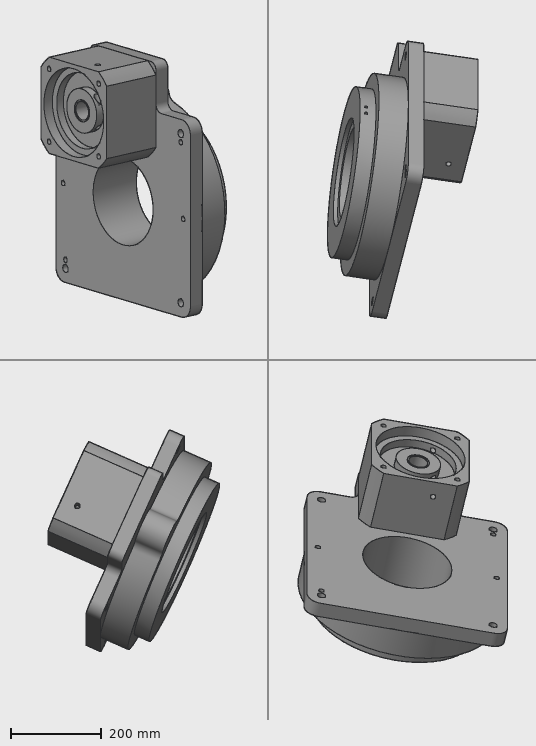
import cadquery as cq
import math


plate_side = 450.0
plate_thickness = 35.0
plate_corner_radius = 30.0
neck_width = 220.5
neck_corner_radius = 18.0
through_bore_diameter = 200.0
overall_height = 562

mounting_offset = 193.0
mounting_diameter = 18.0
dowel_gap = 19.5
small_hole_diameter = 12.0
side_hole_offset = 200.5

body_radius = plate_side / 2
body_thickness = 66.0
bulge_radius = 40.0
bulge_blend_radius = 25.0
turntable_diameter = 380.5
turntable_thickness = 35.5
index_hole_diameter = 6.0
index_hole_depth = 11.0
index_hole_spacing = 20.0
index_hole_from_back = 13.5
rear_recess_diameter = 240.5
rear_recess_depth = 9.5

housing_side = 220.0
housing_corner_diameter = 275.0
housing_depth = 144.0
bolt_spacing = 166.0
bolt_hole_depth = 22.5
pilot_diameter = 200.0
pilot_depth = 25.0
cavity_diameter = 171.0

hub_diameter = 100.0
hub_face_depth = 23.0
shaft_bore_diameter = 42.0
shaft_recess_diameter = 49.5
shaft_recess_depth = 1.5
clamp_hole_x = 36.0
clamp_hole_depth = 38.0
clamp_slit_width = 2.0
screw_head_diameter = 16.0
screw_head_top = 50.5
screw_head_bottom = 20.0

half_plate = plate_side / 2
drive_z = overall_height - half_plate - neck_width / 2
housing_front = -housing_depth
clamp_hole_radius = small_hole_diameter / 2
cavity_depth = clamp_hole_depth + math.sqrt(clamp_hole_radius**2 - (clamp_slit_width / 2) ** 2)
body_back = plate_thickness + body_thickness
table_back = body_back + turntable_thickness


def cylinder(diameter, y_start, y_end, x=0, z=0):
    """Cylinder along +Y between two Y positions."""
    return cq.Workplane("XZ", origin=(x, y_start, z)).circle(diameter / 2).extrude(y_start - y_end)


def vertical_cylinder(diameter, z_start, z_end, x, y):
    """Cylinder along +Z between two heights."""
    return cq.Workplane("XY", origin=(x, y, z_start)).circle(diameter / 2).extrude(z_end - z_start)


def box(width, height, y_start, y_end, z):
    """Block centred on X = 0 and on the given height."""
    return cq.Workplane("XZ", origin=(0, y_start, z)).rect(width, height).extrude(y_start - y_end)


def make_plate():
    """Square plate with a narrower neck that backs the drive housing."""
    half_neck = neck_width / 2
    top = overall_height - half_plate
    plate = (
        cq.Workplane("XZ")
        .moveTo(-half_plate, -half_plate)
        .lineTo(half_plate, -half_plate)
        .lineTo(half_plate, half_plate)
        .lineTo(half_neck, half_plate)
        .lineTo(half_neck, top)
        .lineTo(-half_neck, top)
        .lineTo(-half_neck, half_plate)
        .lineTo(-half_plate, half_plate)
        .close()
        .extrude(-plate_thickness)
    )
    margin = neck_corner_radius
    neck_corners = cq.selectors.BoxSelector(
        (-half_neck - margin, -margin, half_plate - margin),
        (half_neck + margin, plate_thickness + margin, top + margin),
    )
    plate = plate.edges("|Y").edges(neck_corners).fillet(neck_corner_radius)
    return plate.edges("|Y").edges("<X or >X").fillet(plate_corner_radius)


def make_body():
    """Round table body with a bulge blended in around the drive axis."""
    body_reach = body_radius + bulge_blend_radius
    bulge_reach = bulge_radius + bulge_blend_radius
    blend_z = (body_reach**2 - bulge_reach**2 + drive_z**2) / (2 * drive_z)
    blend_x = math.sqrt(body_reach**2 - blend_z**2)
    on_body = (blend_x * body_radius / body_reach, blend_z * body_radius / body_reach)
    bulge_share = bulge_radius / bulge_reach
    on_bulge = (blend_x * bulge_share, drive_z + (blend_z - drive_z) * bulge_share)
    to_midpoint = math.hypot(blend_x, blend_z - drive_z / 2)
    blend_middle = (
        blend_x - bulge_blend_radius * blend_x / to_midpoint,
        blend_z - bulge_blend_radius * (blend_z - drive_z / 2) / to_midpoint,
    )
    return (
        cq.Workplane("XZ", origin=(0, plate_thickness, 0))
        .moveTo(*on_body)
        .threePointArc((0, -body_radius), (-on_body[0], on_body[1]))
        .threePointArc((-blend_middle[0], blend_middle[1]), (-on_bulge[0], on_bulge[1]))
        .threePointArc((0, drive_z + bulge_radius), on_bulge)
        .threePointArc(blend_middle, on_body)
        .close()
        .extrude(-body_thickness)
    )


def make_turntable():
    """Output disc with a pair of index holes on its -X side."""
    disc = cylinder(turntable_diameter, body_back, table_back)
    rim_x = -turntable_diameter / 2
    index_holes = (
        cq.Workplane("YZ", origin=(rim_x, table_back - index_hole_from_back, 0))
        .rarray(5.5, index_hole_spacing, 1, 2)
        .circle(index_hole_diameter / 2)
        .extrude(index_hole_depth)
    )
    return disc.cut(index_holes)


def make_housing():
    """Square housing with rounded-off corners, a stepped cavity and a clamping hub."""
    housing = box(housing_side, housing_side, housing_front, 0, drive_z)
    housing = housing.intersect(cylinder(housing_corner_diameter, housing_front, 0, z=drive_z))
    housing = housing.cut(cylinder(pilot_diameter, housing_front, housing_front + pilot_depth, z=drive_z))
    housing = housing.cut(cylinder(cavity_diameter, housing_front, housing_front + cavity_depth, z=drive_z))
    hub_face = housing_front + hub_face_depth
    housing = housing.union(cylinder(hub_diameter, hub_face, housing_front + cavity_depth, z=drive_z))
    return housing.cut(shaft_bore(hub_face)).cut(clamp_screw_hole()).cut(bolt_holes())


def shaft_bore(hub_face):
    """Bore reaching back to the plate, with a shallow wider recess at its mouth."""
    bore = cylinder(shaft_bore_diameter, hub_face, 0, z=drive_z)
    recess = cylinder(shaft_recess_diameter, hub_face, hub_face + shaft_recess_depth, z=drive_z)
    return bore.union(recess)


def clamp_screw_hole():
    """Hole straight through the housing and the side of the hub, widened for the screw head."""
    clamp_y = housing_front + clamp_hole_depth
    half_height = housing_side / 2
    access = vertical_cylinder(
        small_hole_diameter, drive_z - half_height, drive_z + half_height, clamp_hole_x, clamp_y
    )
    head_seat = vertical_cylinder(
        screw_head_diameter, drive_z + screw_head_bottom, drive_z + screw_head_top, clamp_hole_x, clamp_y
    )
    return access.union(head_seat)


def bolt_holes():
    """Four blind motor bolt holes in the corners of the housing's front face."""
    return (
        cq.Workplane("XZ", origin=(0, housing_front, drive_z))
        .rarray(bolt_spacing, bolt_spacing, 2, 2)
        .circle(small_hole_diameter / 2)
        .extrude(-bolt_hole_depth)
    )


def plate_holes():
    """Corner mounting holes, two dowel holes beside them and two side holes."""
    dowel_z = mounting_offset - dowel_gap
    small_hole_points = [
        (mounting_offset, dowel_z),
        (-mounting_offset, -dowel_z),
        (side_hole_offset, 0),
        (-side_hole_offset, 0),
    ]
    mounting = (
        cq.Workplane("XZ")
        .rarray(2 * mounting_offset, 2 * mounting_offset, 2, 2)
        .circle(mounting_diameter / 2)
        .extrude(-plate_thickness)
    )
    small = (
        cq.Workplane("XZ")
        .pushPoints(small_hole_points)
        .circle(small_hole_diameter / 2)
        .extrude(-plate_thickness)
    )
    return mounting.union(small)


result = (
    make_plate()
    .cut(plate_holes())
    .union(make_body())
    .union(make_turntable())
    .union(make_housing())
    .cut(cylinder(through_bore_diameter, 0, table_back))
    .cut(cylinder(rear_recess_diameter, table_back - rear_recess_depth, table_back))
)